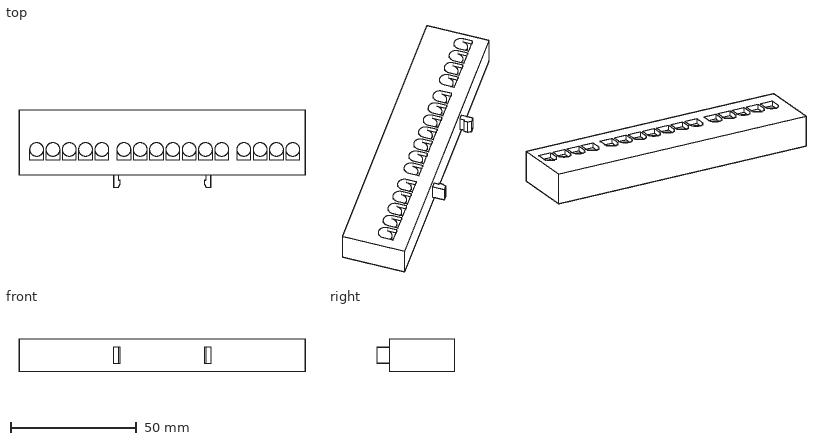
import cadquery as cq

body_length = 114.0
body_width = 26.0
body_height = 13.0

group_sizes = (5, 7, 4)
pocket_pitch = 6.5
group_step = 8.8
first_pocket_x = 7.0
pocket_diameter = 5.5
bore_center_y = 10.3
recess_front_y = 6.2
recess_depth = 2.0
bore_depth = 9.1

clip_outer_x = 37.6
clip_height = 6.5
clip_reach = 4.9
stem_thickness = 2.0
hook_overhang = 0.6
hook_start = 1.9
hook_end = 3.4
tip_thickness = 1.9


def pocket_positions():
    """X of every pocket; a wider step separates the groups."""
    positions = []
    x = first_pocket_x
    for size in group_sizes:
        positions += [x + i * pocket_pitch for i in range(size)]
        x = positions[-1] + group_step
    return positions


def make_pocket(x):
    """Solid to cut away for one pocket: U-shaped recess plus deeper bore."""
    radius = pocket_diameter / 2
    recess = (
        cq.Workplane("XY", origin=(x, 0, body_height))
        .moveTo(-radius, recess_front_y)
        .lineTo(radius, recess_front_y)
        .lineTo(radius, bore_center_y)
        .threePointArc((0, bore_center_y + radius), (-radius, bore_center_y))
        .close()
        .extrude(-recess_depth)
    )
    bore = (
        cq.Workplane("XY", origin=(x, bore_center_y, body_height))
        .circle(radius)
        .extrude(-bore_depth)
    )
    return recess.union(bore)


def make_left_clip():
    """Clip with its hook facing the middle of the block and a tapered tip."""
    stem_x = clip_outer_x + stem_thickness
    hook_x = stem_x + hook_overhang
    outline = [
        (clip_outer_x, 0),
        (stem_x, 0),
        (stem_x, -hook_start),
        (hook_x, -hook_start),
        (hook_x, -hook_end),
        (clip_outer_x + tip_thickness, -clip_reach),
        (clip_outer_x, -clip_reach),
    ]
    clip_base_z = (body_height - clip_height) / 2
    return (
        cq.Workplane("XY", origin=(0, 0, clip_base_z))
        .polyline(outline)
        .close()
        .extrude(clip_height)
    )


body = cq.Workplane("XY").box(body_length, body_width, body_height, centered=False)
for pocket_x in pocket_positions():
    body = body.cut(make_pocket(pocket_x))

left_clip = make_left_clip()
right_clip = left_clip.mirror("YZ", (body_length / 2, 0, 0))
result = body.union(left_clip).union(right_clip)